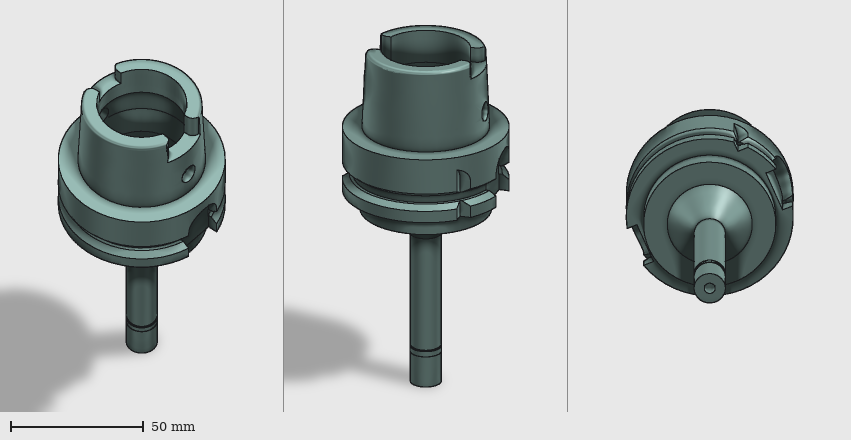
import cadquery as cq
import math

TOTAL_HEIGHT = 137.0
TIP_COLLAR_Z = 12.5
TIP_SHOULDER_Z = 14.7
STEM_END_Z = 15.1
CONE_BASE_Z = 71.2
FLANGE_BOTTOM_Z = 79.0
GAUGE_PLANE_Z = 105.0

FLANGE_RADIUS = 31.5
NOSE_RADIUS = 25.0
CONE_RADIUS = 16.0
STEM_RADIUS = 5.9
TAPER_BASE_RADIUS = 24.1
TAPER_TOP_RADIUS = 22.7
RIM_FILLET = 1.5
TIP_COLLAR_RADIUS = 6.0
TIP_NECK_RADIUS = 5.6

GROOVE_RADIUS = 27.5
GROOVE_LEDGE_RADIUS = 28.9
GROOVE_CENTER_Z = 87.3
GROOVE_FLOOR_WIDTH = 3.4
GROOVE_MOUTH_WIDTH = 7.1

MOUTH_BORE_RADIUS = 17.0
UNDERCUT_RADIUS = 20.1
UNDERCUT_TOP_Z = 123.8
UNDERCUT_BOTTOM_Z = 110.8
LOWER_BORE_TOP_Z = 101.4
LOWER_BORE_FLOOR_Z = 95.0
THREAD_BORE_RADIUS = 8.9
THREAD_BORE_FLOOR_Z = 82.2
SPIGOT_RADIUS = 4.1
COOLANT_RADIUS = 2.0

SPIGOT_LENGTH = 13.7

DRIVE_SLOT_WIDTH = 12.5
SHALLOW_SLOT_DEPTH = 5.9
DEEP_SLOT_DEPTH = 10.0
DRIVE_SLOT_FILLET = 3.0

CROSS_HOLE_RADIUS = 3.7
CROSS_HOLE_Z = 114.3

KEYWAY_WIDTH = 16.0
KEYWAY_CENTER_Z = 92.2
KEYWAY_FLOOR_X = 26.5
NOTCH_WIDTH = 12.3
NOTCH_CENTER_Z = 94.0
NOTCH_INSET = 20.1


def disc(radius, bottom, top):
    """Upright cylinder about the Z axis."""
    return cq.Workplane("XY").workplane(offset=bottom).circle(radius).extrude(top - bottom)


def revolved(outline):
    """Solid of revolution about the Z axis from (radius, height) points."""
    return cq.Workplane("YZ").polyline(outline).close().revolve(360, (0, 0), (0, 1))


def holder_blank():
    """Turned outside of the holder, with the gripper groove and the rounded rim."""
    cone_tip_z = CONE_BASE_Z - (CONE_RADIUS - STEM_RADIUS)
    groove_floor_bottom = GROOVE_CENTER_Z - GROOVE_FLOOR_WIDTH / 2
    groove_floor_top = GROOVE_CENTER_Z + GROOVE_FLOOR_WIDTH / 2
    outline = [
        (0, STEM_END_Z),
        (STEM_RADIUS, STEM_END_Z),
        (STEM_RADIUS, cone_tip_z),
        (CONE_RADIUS, CONE_BASE_Z),
        (NOSE_RADIUS, CONE_BASE_Z),
        (NOSE_RADIUS, FLANGE_BOTTOM_Z),
        (FLANGE_RADIUS, FLANGE_BOTTOM_Z),
        (FLANGE_RADIUS, GROOVE_CENTER_Z - GROOVE_MOUTH_WIDTH / 2),
        (GROOVE_LEDGE_RADIUS, groove_floor_bottom),
        (GROOVE_RADIUS, groove_floor_bottom),
        (GROOVE_RADIUS, groove_floor_top),
        (GROOVE_LEDGE_RADIUS, groove_floor_top),
        (FLANGE_RADIUS, GROOVE_CENTER_Z + GROOVE_MOUTH_WIDTH / 2),
        (FLANGE_RADIUS, GAUGE_PLANE_Z),
        (TAPER_BASE_RADIUS, GAUGE_PLANE_Z),
        (TAPER_TOP_RADIUS, TOTAL_HEIGHT),
        (0, TOTAL_HEIGHT),
    ]
    return revolved(outline).faces(">Z").edges().fillet(RIM_FILLET)


def stepped_bore():
    """Turned bore from the rim down to the end of the stem, undercut behind the mouth."""
    outline = [
        (0, TOTAL_HEIGHT),
        (MOUTH_BORE_RADIUS, TOTAL_HEIGHT),
        (MOUTH_BORE_RADIUS, UNDERCUT_TOP_Z),
        (UNDERCUT_RADIUS, UNDERCUT_TOP_Z),
        (UNDERCUT_RADIUS, UNDERCUT_BOTTOM_Z),
        (MOUTH_BORE_RADIUS, LOWER_BORE_TOP_Z),
        (MOUTH_BORE_RADIUS, LOWER_BORE_FLOOR_Z),
        (THREAD_BORE_RADIUS, LOWER_BORE_FLOOR_Z),
        (THREAD_BORE_RADIUS, THREAD_BORE_FLOOR_Z),
        (SPIGOT_RADIUS, THREAD_BORE_FLOOR_Z),
        (SPIGOT_RADIUS, STEM_END_Z),
        (0, STEM_END_Z),
    ]
    return revolved(outline)


def drive_slot(depth):
    """Slot through the rim at +X whose outer corners flare out in tangent arcs."""
    half = DRIVE_SLOT_WIDTH / 2
    arc_y = half + DRIVE_SLOT_FILLET
    arc_x = math.sqrt((TAPER_TOP_RADIUS - DRIVE_SLOT_FILLET) ** 2 - arc_y**2)
    middle = DRIVE_SLOT_FILLET * math.sqrt(0.5)
    flare_x = arc_x + DRIVE_SLOT_FILLET
    return (
        cq.Workplane("XY")
        .workplane(offset=TOTAL_HEIGHT - depth)
        .moveTo(0, -half)
        .lineTo(arc_x, -half)
        .threePointArc((arc_x + middle, middle - arc_y), (flare_x, -arc_y))
        .lineTo(FLANGE_RADIUS, -arc_y)
        .lineTo(FLANGE_RADIUS, arc_y)
        .lineTo(flare_x, arc_y)
        .threePointArc((arc_x + middle, arc_y - middle), (arc_x, half))
        .lineTo(0, half)
        .close()
        .extrude(depth)
    )


def flange_slot(width, center_y, center_z, floor_x):
    """Round-topped slot at +X, open outward and through the flange bottom."""
    half = width / 2
    return (
        cq.Workplane("YZ")
        .workplane(offset=floor_x)
        .moveTo(center_y - half, FLANGE_BOTTOM_Z)
        .lineTo(center_y - half, center_z)
        .threePointArc((center_y, center_z + half), (center_y + half, center_z))
        .lineTo(center_y + half, FLANGE_BOTTOM_Z)
        .close()
        .extrude(FLANGE_RADIUS - floor_x)
    )


def turned_to_minus_x(cutter):
    return cutter.rotate((0, 0, 0), (0, 0, 1), 180)


def make_holder():
    holder = holder_blank().cut(stepped_bore())

    holder = holder.cut(drive_slot(DEEP_SLOT_DEPTH))
    holder = holder.cut(turned_to_minus_x(drive_slot(SHALLOW_SLOT_DEPTH)))

    cross_hole = (
        cq.Workplane("YZ")
        .center(0, CROSS_HOLE_Z)
        .circle(CROSS_HOLE_RADIUS)
        .extrude(FLANGE_RADIUS, both=True)
    )
    holder = holder.cut(cross_hole)

    keyway = flange_slot(KEYWAY_WIDTH, 0, KEYWAY_CENTER_Z, KEYWAY_FLOOR_X)
    holder = holder.cut(keyway).cut(turned_to_minus_x(keyway))

    notch_center_y = NOTCH_INSET + NOTCH_WIDTH / 2
    notch = flange_slot(NOTCH_WIDTH, -notch_center_y, NOTCH_CENTER_Z, NOTCH_INSET)
    return holder.cut(turned_to_minus_x(notch))


def make_tip():
    """Tip with a slightly wider collar, a short neck and a spigot that fills the end of the stem bore."""
    tip = disc(STEM_RADIUS, 0, TIP_COLLAR_Z)
    tip = tip.union(disc(TIP_COLLAR_RADIUS, TIP_COLLAR_Z, TIP_SHOULDER_Z))
    spigot_top_z = STEM_END_Z + SPIGOT_LENGTH
    tip = tip.union(disc(TIP_NECK_RADIUS, TIP_SHOULDER_Z, STEM_END_Z))
    tip = tip.union(disc(SPIGOT_RADIUS, STEM_END_Z, spigot_top_z))
    return tip.cut(disc(COOLANT_RADIUS, 0, spigot_top_z))


holder = make_holder()
tip = make_tip()

result = cq.Compound.makeCompound([holder.val(), tip.val()])